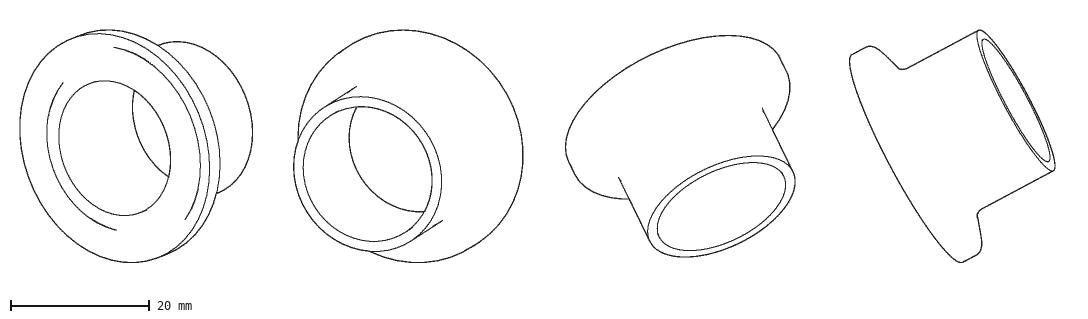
import cadquery as cq
import math


total_length = 18.0
bore_radius = 20.0 / 2
tube_radius = 23.0 / 2

flange_radius = 34.0 / 2
rim_height = 2.85
taper_angle = math.radians(20)
rim_fillet = 0.8
neck_fillet = 2.0

groove_radius = 27.5 / 2
groove_depth = 1.65
groove_floor_radius = 1.2
groove_lip_radius = 0.8
groove_wall_angle = math.radians(70)


def arc_point(center, radius, angle):
    """Point on a circle, angle counted from the radial direction towards +Y."""
    return (center[0] + radius * math.cos(angle), center[1] + radius * math.sin(angle))


def add_arc(profile, center, radius, start, end):
    """Extend the profile with an arc that begins at the current point."""
    middle = arc_point(center, radius, (start + end) / 2)
    return profile.threePointArc(middle, arc_point(center, radius, end))


def make_body():
    """Revolved tube and flange, with the rim and neck fillets tangent to the taper."""
    quarter = math.pi / 2
    taper_normal = quarter - taper_angle
    tangent_height = math.tan(taper_normal / 2)
    neck_corner = rim_height + (flange_radius - tube_radius) * math.tan(taper_angle)
    rim_center = (flange_radius - rim_fillet, rim_height - rim_fillet * tangent_height)
    neck_center = (tube_radius + neck_fillet, neck_corner + neck_fillet * tangent_height)

    profile = cq.Workplane("XY").moveTo(bore_radius, 0).lineTo(flange_radius, 0)
    profile = profile.lineTo(flange_radius, rim_center[1])
    profile = add_arc(profile, rim_center, rim_fillet, 0, taper_normal)
    profile = profile.lineTo(*arc_point(neck_center, neck_fillet, math.pi + taper_normal))
    profile = add_arc(profile, neck_center, neck_fillet, math.pi + taper_normal, math.pi)
    profile = profile.lineTo(tube_radius, total_length).lineTo(bore_radius, total_length).close()
    return profile.revolve(360, (0, 0, 0), (0, 1, 0))


def make_groove():
    """Ring that is removed from the gasket face, symmetric about the groove centre line."""
    quarter = math.pi / 2
    arc_rise = (groove_floor_radius + groove_lip_radius) * (1 - math.cos(groove_wall_angle))
    arc_width = (groove_floor_radius + groove_lip_radius) * math.sin(groove_wall_angle)
    wall_width = (groove_depth - arc_rise) / math.tan(groove_wall_angle)
    half_opening = arc_width + wall_width

    inner_lip = (groove_radius - half_opening, groove_lip_radius)
    outer_lip = (groove_radius + half_opening, groove_lip_radius)
    floor = (groove_radius, groove_depth - groove_floor_radius)
    floor_start = quarter + groove_wall_angle
    floor_end = quarter - groove_wall_angle

    profile = cq.Workplane("XY").moveTo(inner_lip[0], 0)
    profile = add_arc(profile, inner_lip, groove_lip_radius, -quarter, groove_wall_angle - quarter)
    profile = profile.lineTo(*arc_point(floor, groove_floor_radius, floor_start))
    profile = add_arc(profile, floor, groove_floor_radius, floor_start, floor_end)
    profile = profile.lineTo(*arc_point(outer_lip, groove_lip_radius, -quarter - groove_wall_angle))
    profile = add_arc(profile, outer_lip, groove_lip_radius, -quarter - groove_wall_angle, -quarter)
    return profile.close().revolve(360, (0, 0, 0), (0, 1, 0))


result = make_body().cut(make_groove())